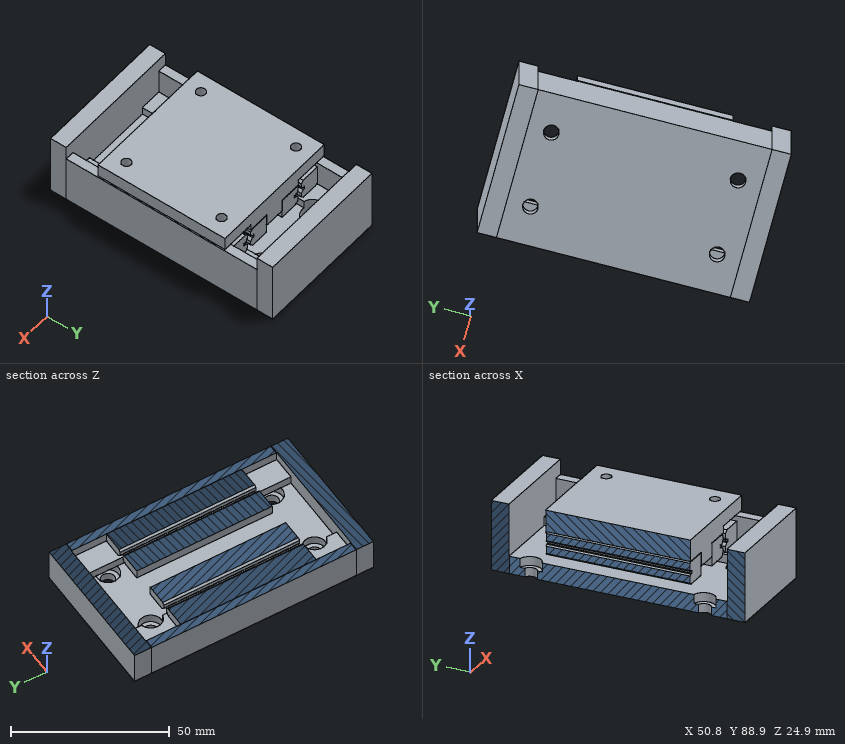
import cadquery as cq

WIDTH = 50.8
LENGTH = 88.9
HEIGHT = 24.9

END_THICKNESS = 6.3
END_HEIGHT = 24.4

BASE_LENGTH = LENGTH - 2 * END_THICKNESS
BASE_HEIGHT = 19.0
CAVITY_HALF = 22.0
LEDGE_Z = 9.25
LEDGE_X = 13.5
FLOOR_Z = 6.2

RAIL_WIDTH = 8.2
RAIL_HEIGHT = 8.0
RAIL_LENGTH = 50.5
RAIL_TOP = LEDGE_Z + RAIL_HEIGHT
RAIL_CHAMFER = 1.0
GROOVE_HALF = 1.4
SLOT_HALF = 0.45
SLOT_DEPTH = 1.7

TABLE_LENGTH = 50.8
PLATE_THICKNESS = 5.2
PLATE_BOTTOM = HEIGHT - PLATE_THICKNESS
WEB_HALF = 3.9
WEB_BOTTOM = 12.5
NECK_HALF = WEB_HALF + RAIL_WIDTH
TABLE_HOLE_DIAMETER = 3.5
TABLE_HOLE_SPACING = 38.05

MOUNT_SPACING_X = 25.3
MOUNT_SPACING_Y = 60.9
MOUNT_DIAMETER = 4.9
COUNTERBORE_DIAMETER = 7.9
COUNTERBORE_Z = 3.1


def block(x_min, x_max, length, z_min, z_max):
    """Box between two X and two Z limits, centred on Y = 0."""
    box = cq.Workplane("XY").box(x_max - x_min, length, z_max - z_min, centered=(False, True, False))
    return box.translate((x_min, 0, z_min))


def cylinder(x, y, diameter, z_min, z_max):
    """Vertical cylinder between two Z limits."""
    return cq.Workplane("XY", origin=(x, y, z_min)).circle(diameter / 2).extrude(z_max - z_min)


def make_base():
    """Channel with a raised rail ledge along each wall and four mounting holes."""
    base = block(-WIDTH / 2, WIDTH / 2, BASE_LENGTH, 0, BASE_HEIGHT)
    base = base.cut(block(-CAVITY_HALF, CAVITY_HALF, BASE_LENGTH, LEDGE_Z, BASE_HEIGHT))
    base = base.cut(block(-LEDGE_X, LEDGE_X, BASE_LENGTH, FLOOR_Z, LEDGE_Z))
    for side, cutter_top in ((-1, LEDGE_Z), (1, FLOOR_Z)):
        for end in (-1, 1):
            x = side * MOUNT_SPACING_X / 2
            y = end * MOUNT_SPACING_Y / 2
            base = base.cut(cylinder(x, y, MOUNT_DIAMETER, 0, COUNTERBORE_Z))
            base = base.cut(cylinder(x, y, COUNTERBORE_DIAMETER, COUNTERBORE_Z, cutter_top))
    return base


def make_end_plate(end):
    """Plain plate closing the channel at one end (end = -1 or 1 along Y)."""
    plate = block(-WIDTH / 2, WIDTH / 2, END_THICKNESS, 0, END_HEIGHT)
    return plate.translate((0, end * (LENGTH - END_THICKNESS) / 2, 0))


def make_table():
    """Top plate over a stepped web that carries the inner rails."""
    table = block(-WIDTH / 2, WIDTH / 2, TABLE_LENGTH, PLATE_BOTTOM, HEIGHT)
    table = table.union(block(-NECK_HALF, NECK_HALF, TABLE_LENGTH, RAIL_TOP, PLATE_BOTTOM))
    table = table.union(block(-WEB_HALF, WEB_HALF, TABLE_LENGTH, WEB_BOTTOM, RAIL_TOP))
    for x_side in (-1, 1):
        for y_side in (-1, 1):
            x = x_side * TABLE_HOLE_SPACING / 2
            y = y_side * TABLE_HOLE_SPACING / 2
            table = table.cut(cylinder(x, y, TABLE_HOLE_DIAMETER, PLATE_BOTTOM, HEIGHT))
    return table


def make_rail(back_x, facing):
    """Rail with its back at back_x and its roller groove facing +X (facing = 1) or -X (-1)."""
    half = RAIL_HEIGHT / 2
    groove_depth = GROOVE_HALF - SLOT_HALF
    profile = [
        (0, -half),
        (RAIL_WIDTH - RAIL_CHAMFER, -half),
        (RAIL_WIDTH, RAIL_CHAMFER - half),
        (RAIL_WIDTH, -GROOVE_HALF),
        (RAIL_WIDTH - groove_depth, -SLOT_HALF),
        (RAIL_WIDTH - SLOT_DEPTH, -SLOT_HALF),
        (RAIL_WIDTH - SLOT_DEPTH, SLOT_HALF),
        (RAIL_WIDTH - groove_depth, SLOT_HALF),
        (RAIL_WIDTH, GROOVE_HALF),
        (RAIL_WIDTH, half - RAIL_CHAMFER),
        (RAIL_WIDTH - RAIL_CHAMFER, half),
        (0, half),
    ]
    points = [(back_x + facing * x, LEDGE_Z + half + z) for x, z in profile]
    return cq.Workplane("XZ").polyline(points).close().extrude(RAIL_LENGTH / 2, both=True)


base = make_base()
end_plates = [make_end_plate(end) for end in (-1, 1)]
table = make_table()
outer_rails = [make_rail(side * CAVITY_HALF, -side) for side in (-1, 1)]
inner_rails = [make_rail(side * WEB_HALF, side) for side in (-1, 1)]

bodies = [base, *end_plates, table, *outer_rails, *inner_rails]
result = cq.Compound.makeCompound([body.val() for body in bodies])